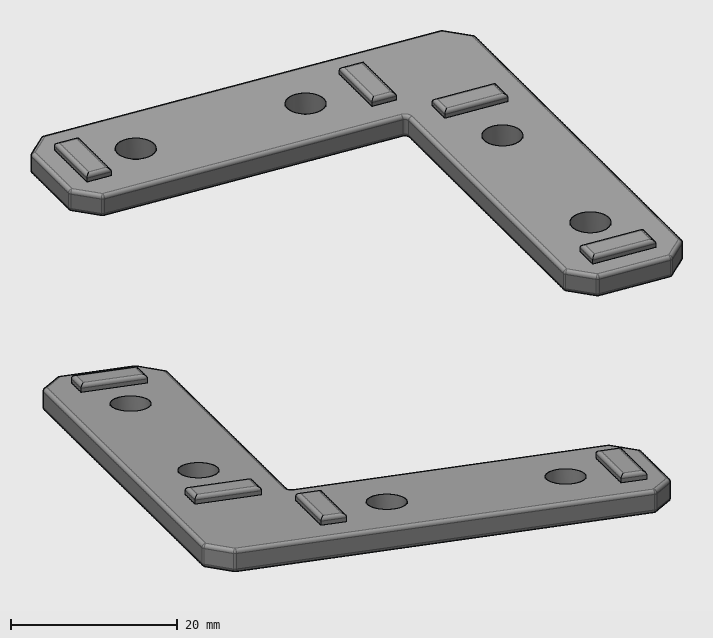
import cadquery as cq

arm_length = 60
arm_width = 16.0
plate_thickness = 3
corner_cut = 3
edge_radius = 0.5

arm_center = arm_width / 2
hole_diameter = 4.9
hole_distances = (25.5, 48.4)
rib_distances = (17.1, 55.55)
rib_length = 8.5
rib_width = 3.3
rib_height = 1.0


def along_x_arm(distance):
    return (distance, -arm_center)


def along_y_arm(distance):
    return (arm_center, -distance)


def make_plate():
    outline = [
        (corner_cut, 0),
        (arm_length - corner_cut, 0),
        (arm_length, -corner_cut),
        (arm_length, corner_cut - arm_width),
        (arm_length - corner_cut, -arm_width),
        (arm_width, -arm_width),
        (arm_width, corner_cut - arm_length),
        (arm_width - corner_cut, -arm_length),
        (corner_cut, -arm_length),
        (0, corner_cut - arm_length),
        (0, -corner_cut),
    ]
    plate = cq.Workplane("XY").polyline(outline).close().extrude(plate_thickness)
    plate = plate.edges("|Z").fillet(edge_radius)
    return plate.faces("<Z or >Z").edges().fillet(edge_radius)


def make_rib(center, size_x, size_y):
    root = plate_thickness / 2
    rib = (
        cq.Workplane("XY", origin=(*center, root))
        .rect(size_x, size_y)
        .extrude(plate_thickness + rib_height - root)
    )
    return rib.faces(">Z").edges().fillet(edge_radius)


result = make_plate()

for distance in rib_distances:
    result = result.union(make_rib(along_x_arm(distance), rib_width, rib_length))
    result = result.union(make_rib(along_y_arm(distance), rib_length, rib_width))

hole_centers = [place(distance) for place in (along_x_arm, along_y_arm) for distance in hole_distances]
holes = cq.Workplane("XY").pushPoints(hole_centers).circle(hole_diameter / 2).extrude(plate_thickness)
result = result.cut(holes)